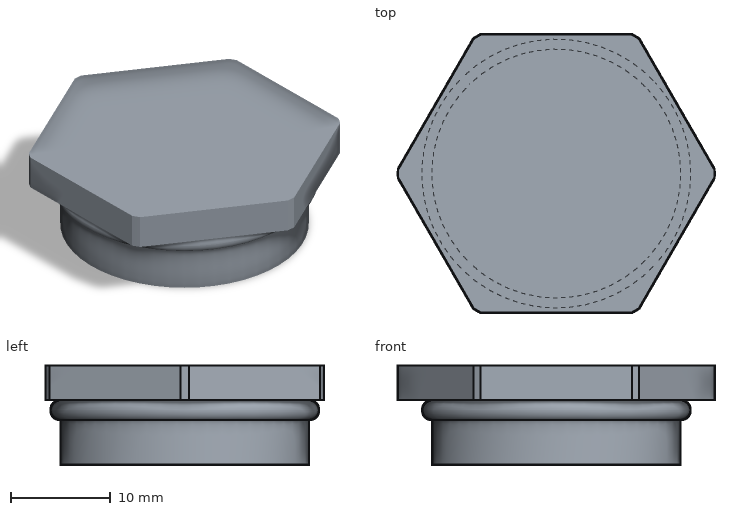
import cadquery as cq
import math

total_height = 10.0
corner_diameter = 31.85
across_flats = 28.0
head_height = 3.5

plug_diameter = 25.0
ring_thickness = 2.0

plug_height = total_height - head_height


def make_head():
    """Hexagonal head whose six corners are trimmed by a round envelope."""
    across_corners = across_flats / math.cos(math.radians(30))
    plane = cq.Workplane("XY").workplane(offset=plug_height)
    hexagon = plane.polygon(6, across_corners).extrude(head_height)
    envelope = plane.circle(corner_diameter / 2).extrude(head_height)
    return hexagon.intersect(envelope)


def make_plug():
    """Plain cylindrical plug below the head."""
    return cq.Workplane("XY").circle(plug_diameter / 2).extrude(plug_height)


def make_sealing_ring():
    """O-ring centred on the plug surface, touching the underside of the head."""
    ring_height = plug_height - ring_thickness / 2
    return (
        cq.Workplane("XZ")
        .center(plug_diameter / 2, ring_height)
        .circle(ring_thickness / 2)
        .revolve(360, (-plug_diameter / 2, 0), (-plug_diameter / 2, 1))
    )


result = make_plug().union(make_sealing_ring()).union(make_head())